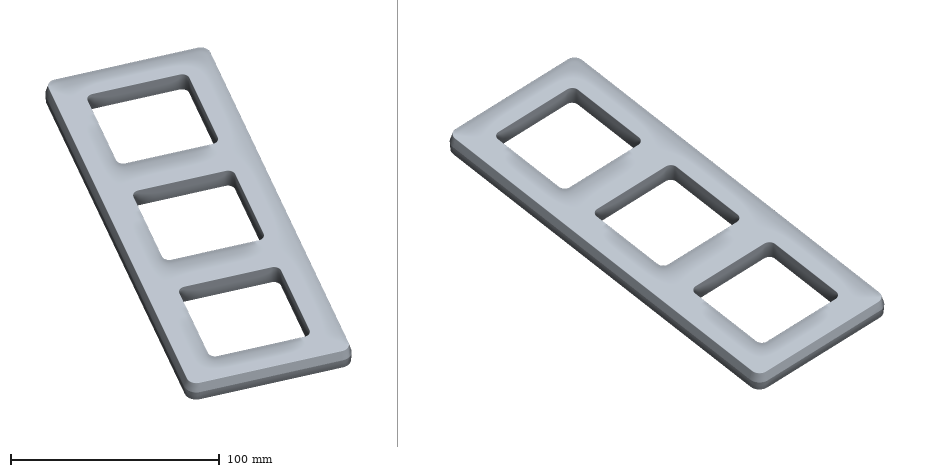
import cadquery as cq

LENGTH = 226.0
WIDTH = 84.0
HEIGHT = 10.0
CORNER_RADIUS = 6.0

BASE_INSET = 0.32
BAND_BOTTOM = 4.7
BAND_HEIGHT = 0.25
TOP_INSET = 1.4

WINDOW_COUNT = 3
WINDOW_PITCH = 71.0
WINDOW_SIZE = 51.0
WINDOW_RADIUS = 3.6

RIM_ROUND = 0.25


def rounded_rectangle(length, width, radius):
    """Closed rounded-rectangle outline centred on the origin."""
    return cq.Sketch().rect(length, width).vertices().fillet(radius)


def frame_outline(inset, height):
    """Frame outline moved inward by inset and lifted to height."""
    outline = rounded_rectangle(LENGTH - 2 * inset, WIDTH - 2 * inset, CORNER_RADIUS - inset)
    return outline.moved(cq.Location(cq.Vector(0, 0, height)))


def frame_tier(bottom, top, bottom_inset, top_inset):
    """Slab whose side wall runs straight from one inset to the other."""
    lower = frame_outline(bottom_inset, bottom)
    upper = frame_outline(top_inset, top)
    return cq.Workplane("XY").placeSketch(lower, upper).loft()


def frame_body():
    """Solid frame blank: flared base, upright band and tapered top."""
    band_top = BAND_BOTTOM + BAND_HEIGHT
    base = frame_tier(0, BAND_BOTTOM, BASE_INSET, 0)
    band = frame_tier(BAND_BOTTOM, band_top, 0, 0)
    top = frame_tier(band_top, HEIGHT, 0, TOP_INSET)
    return base.union(band).union(top)


def window_cutters():
    """Upright square openings, evenly spaced along the frame."""
    window = rounded_rectangle(WINDOW_SIZE, WINDOW_SIZE, WINDOW_RADIUS)
    return (
        cq.Workplane("XY")
        .rarray(WINDOW_PITCH, 2.3, WINDOW_COUNT, 1)
        .placeSketch(window)
        .extrude(HEIGHT)
    )


frame = frame_body().cut(window_cutters())
result = frame.faces(">Z").edges().fillet(RIM_ROUND)